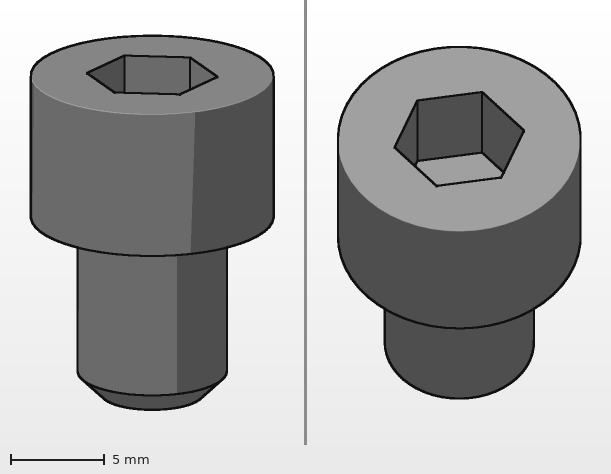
import cadquery as cq
import math

thread_diameter = 8.0
shank_length = 10.0
tip_chamfer = 1.25

head_diameter = 13.0
head_height = thread_diameter
head_edge_radius = 0.05

socket_sides = 6
socket_across_flats = 6.08
socket_across_corners = socket_across_flats / math.cos(math.pi / socket_sides)
socket_depth = 5.0


def make_head():
    """Cylindrical head with its top rim slightly rounded."""
    head = cq.Workplane("XY").circle(head_diameter / 2).extrude(head_height)
    return head.faces(">Z").edges().fillet(head_edge_radius)


def make_shank():
    """Plain shank below the head, ending in a chamfered tip."""
    shank = cq.Workplane("XY").circle(thread_diameter / 2).extrude(-shank_length)
    return shank.faces("<Z").edges().chamfer(tip_chamfer)


def make_socket():
    """Hexagonal prism with two corners on the X axis, sunk from the top of the head."""
    head_top = cq.Workplane("XY").workplane(offset=head_height)
    return head_top.polygon(socket_sides, socket_across_corners).extrude(-socket_depth)


result = make_head().union(make_shank()).cut(make_socket())